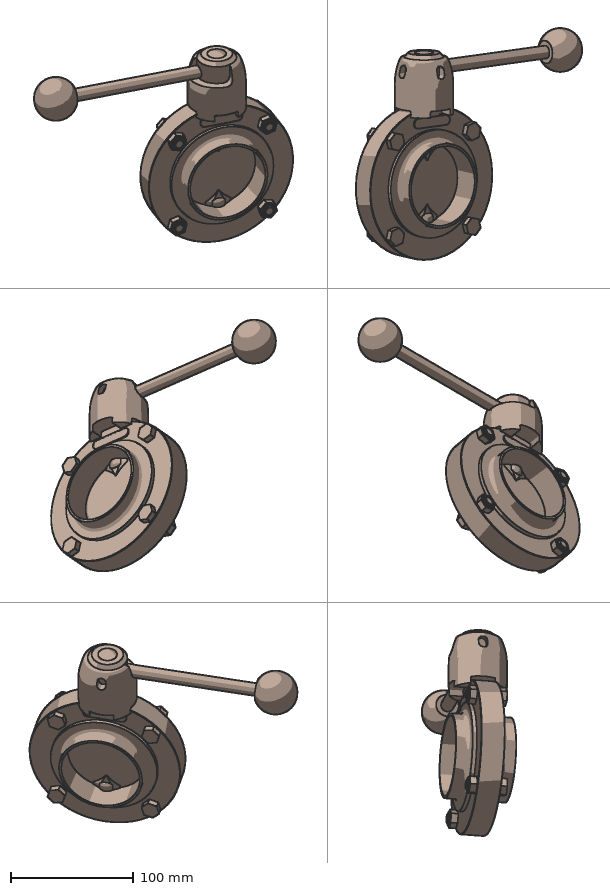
import cadquery as cq
import math


flange_radius = 63.5
flange_width = 19.8
flange_half_width = flange_width / 2
flange_chamfer = 0.5
collar_radius = 44.8
collar_width = 26.5
collar_end = collar_width / 2
pipe_radius = 35.0
bore_radius = 33.0
pipe_length = 50.0
pipe_end = pipe_length / 2
neck_fillet = 4.0

plate_length = 36.7
plate_height = 8.2
plate_center_z = 51.2
plate_thickness = 1.1
recess_diameter = 8.5
recess_offset = 11.4
recess_center_z = 52.5
recess_depth = 0.7

bolt_count = 4
bolt_circle_radius = 55.9
hex_across_corners = 15.4
hex_envelope_diameter = 15.8
hex_chamfer = 0.5
head_height = 5.3
nut_height = 5.8
nut_collar_diameter = 11.4
nut_collar_height = 1.0
bolt_radius = 4.5
bolt_end_length = 1.1
bolt_chamfer = 1.0

disc_half_thickness = 5.8
disc_center_radius = 2.12
disc_cone_radius = 30.7
disc_cone_edge = 3.0
disc_rim_half_thickness = 2.2
stub_radius = 7.3
stub_inner_z = 25.5
stub_fillet = 3.3
hub_tip_z = 18.3
hub_tip_half_width = 0.5
hub_tip_depth = 4.5
hub_outer_z = 28.5
hub_half_width = 11.1
hub_crest_depth = 5.0
hub_edge_depth = 3.0
hub_crest_share = 0.45

knob_bottom = 57.0
knob_radius = 24.0
notch_top = 62.5
knob_straight_top = 81.3
knob_mid_radius = 23.2
knob_mid_z = 90.8
knob_shoulder_radius = 20.0
knob_shoulder_z = 101.5
knob_top = 104.0
notch_width = 20.5
notch_fillet = 1.3

core_radius = 16.3
cap_radius = 13.0
cap_top = 107.3
dome_radius = 7.8
dome_height = 1.5

lever_z = 93.7
lever_radius = 5.3
ball_radius = 18.0
ball_center_y = -141.2
ball_flat_offset = 15.4
hole_width = 7.3
hole_height = 10.2

reach = 33.5


def ring_of_bolts(shape):
    """Copies of a shape centred on the X axis, moved out to the bolt circle."""
    copies = cq.Workplane("XY")
    for index in range(bolt_count):
        angle = 45 + index * 360 / bolt_count
        copy = shape.translate((0, bolt_circle_radius, 0)).rotate((0, 0, 0), (1, 0, 0), angle)
        copies = copies.add(copy)
    return copies.combine()


def make_body():
    fillet_edge = collar_end + neck_fillet
    fillet_middle = neck_fillet * (1 - math.sqrt(0.5))
    half = (
        cq.Workplane("XY")
        .moveTo(0, bore_radius)
        .lineTo(0, flange_radius)
        .lineTo(flange_half_width - flange_chamfer, flange_radius)
        .lineTo(flange_half_width, flange_radius - flange_chamfer)
        .lineTo(flange_half_width, collar_radius)
        .lineTo(collar_end, collar_radius)
        .lineTo(collar_end, pipe_radius + neck_fillet)
        .threePointArc(
            (collar_end + fillet_middle, pipe_radius + fillet_middle),
            (fillet_edge, pipe_radius),
        )
        .lineTo(pipe_end, pipe_radius)
        .lineTo(pipe_end, bore_radius)
        .close()
        .revolve(360, (0, 0, 0), (1, 0, 0))
    )
    body = half.union(half.mirror("YZ"))

    recesses = (
        cq.Workplane("YZ", origin=(flange_half_width - recess_depth, 0, 0))
        .pushPoints([(-recess_offset, recess_center_z), (recess_offset, recess_center_z)])
        .circle(recess_diameter / 2)
        .extrude(recess_depth)
    )
    body = body.cut(recesses).cut(recesses.mirror("YZ"))
    plate = (
        cq.Workplane("YZ")
        .center(0, plate_center_z)
        .slot2D(plate_length, plate_height)
        .extrude(flange_half_width + plate_thickness, both=True)
    )
    return body.union(plate)


def make_hexagon(height):
    """Hexagon prism from the flange face outwards along +X, with its far corners chamfered."""
    prism = (
        cq.Workplane("YZ", origin=(flange_half_width, 0, 0))
        .transformed(rotate=(0, 0, 90))
        .polygon(6, hex_across_corners)
        .extrude(height)
    )
    envelope = (
        cq.Workplane("YZ", origin=(flange_half_width, 0, 0))
        .circle(hex_envelope_diameter / 2)
        .extrude(height)
        .faces(">X")
        .chamfer(hex_chamfer)
    )
    return prism.intersect(envelope)


def make_bolts():
    nut = make_hexagon(nut_height)
    collar = (
        cq.Workplane("YZ", origin=(flange_half_width, 0, 0))
        .circle(nut_collar_diameter / 2)
        .extrude(nut_height + nut_collar_height)
    )
    bolt_end = (
        cq.Workplane("YZ", origin=(flange_half_width, 0, 0))
        .circle(bolt_radius)
        .extrude(nut_height + nut_collar_height + bolt_end_length)
        .faces(">X")
        .chamfer(bolt_chamfer)
    )
    head = make_hexagon(head_height).mirror("YZ")
    return ring_of_bolts(nut.union(collar).union(bolt_end)).union(ring_of_bolts(head))


def hub_section(crest_depth, edge_depth, half_width):
    """Corners of the eight-sided hub section, thickest along its middle."""
    crest = hub_crest_share * half_width
    front = [
        (edge_depth, -half_width),
        (crest_depth, -crest),
        (crest_depth, crest),
        (edge_depth, half_width),
    ]
    back = [(-x, -y) for x, y in front]
    return front + back


def make_disc():
    half = (
        cq.Workplane("XY")
        .lineTo(disc_half_thickness, 0)
        .lineTo(disc_half_thickness, disc_center_radius)
        .lineTo(disc_cone_edge, disc_cone_radius)
        .lineTo(disc_rim_half_thickness, bore_radius)
        .lineTo(0, bore_radius)
        .close()
        .revolve(360, (0, 0, 0), (1, 0, 0))
    )
    hub_outline = hub_section(hub_crest_depth, hub_edge_depth, hub_half_width)
    hub_tip = hub_section(hub_tip_depth, hub_edge_depth, hub_tip_half_width)
    hub = (
        cq.Workplane("XY", origin=(0, 0, hub_tip_z))
        .polyline(hub_tip)
        .close()
        .workplane(offset=hub_outer_z - hub_tip_z)
        .polyline(hub_outline)
        .close()
        .loft(ruled=True)
    )
    hub_base = (
        cq.Workplane("XY", origin=(0, 0, hub_outer_z))
        .polyline(hub_outline)
        .close()
        .extrude(bore_radius - hub_outer_z)
    )
    stub = (
        cq.Workplane("XY", origin=(0, 0, stub_inner_z))
        .circle(stub_radius)
        .extrude(pipe_radius - stub_inner_z)
        .faces("<Z")
        .edges()
        .fillet(stub_fillet)
    )
    hub = hub.union(hub_base).union(stub)
    return half.union(half.mirror("YZ")).union(hub).union(hub.mirror("XY"))


def make_lever_pocket():
    """Quarter of the knob opened upwards for the lever, with a floor rounded to the lever."""
    outside = (False, False, False)
    side = reach + lever_radius
    upper = (
        cq.Workplane("XY")
        .box(side, side, reach, centered=outside)
        .translate((-lever_radius, -reach, lever_z))
    )
    floor = (
        cq.Workplane("XY")
        .box(reach, reach, reach, centered=outside)
        .translate((0, -reach, lever_z - lever_radius))
    )
    groove_x = cq.Workplane("YZ", origin=(0, 0, lever_z)).circle(lever_radius).extrude(reach)
    groove_y = cq.Workplane("XZ", origin=(0, 0, lever_z)).circle(lever_radius).extrude(reach)
    return upper.union(floor).union(groove_x).union(groove_y)


def make_notch():
    """Slot across the underside of the knob along X, with rounded top corners."""
    return (
        cq.Workplane("XY")
        .box(2 * reach, notch_width, notch_top - knob_bottom, centered=(True, True, False))
        .translate((0, 0, knob_bottom))
        .edges("|X and >Z")
        .fillet(notch_fillet)
    )


def make_knob():
    knob = (
        cq.Workplane("XZ")
        .moveTo(0, knob_bottom)
        .lineTo(knob_radius, knob_bottom)
        .lineTo(knob_radius, knob_straight_top)
        .threePointArc((knob_mid_radius, knob_mid_z), (knob_shoulder_radius, knob_shoulder_z))
        .tangentArcPoint((core_radius, knob_top), relative=False)
        .lineTo(0, knob_top)
        .close()
        .revolve(360, (0, 0, 0), (0, 1, 0))
    )
    notch = make_notch()
    knob = knob.cut(notch).cut(notch.rotate((0, 0, 0), (0, 0, 1), 90))
    hole = (
        cq.Workplane("YZ", origin=(0, 0, lever_z))
        .slot2D(hole_height, hole_width, 90)
        .extrude(-reach)
    )
    knob = knob.cut(hole).cut(hole.rotate((0, 0, 0), (0, 0, 1), -90))
    knob = knob.cut(make_lever_pocket())
    dome_sphere_radius = (dome_radius**2 + dome_height**2) / (2 * dome_height)
    dome_half_angle = math.asin(dome_radius / dome_sphere_radius) / 2
    dome_middle = (
        dome_sphere_radius * math.sin(dome_half_angle),
        cap_top + dome_height - dome_sphere_radius * (1 - math.cos(dome_half_angle)),
    )
    core = (
        cq.Workplane("XZ")
        .moveTo(0, knob_straight_top)
        .lineTo(core_radius, knob_straight_top)
        .lineTo(core_radius, knob_top)
        .lineTo(cap_radius, cap_top)
        .lineTo(dome_radius, cap_top)
        .threePointArc(dome_middle, (0, cap_top + dome_height))
        .close()
        .revolve(360, (0, 0, 0), (0, 1, 0))
    )
    return knob.union(core)


def make_lever():
    rod = (
        cq.Workplane("XZ", origin=(0, 0, lever_z))
        .circle(lever_radius)
        .extrude(-ball_center_y)
    )
    ball = cq.Workplane("XY").sphere(ball_radius)
    beyond_flat = (
        cq.Workplane("XZ", origin=(0, ball_flat_offset, 0))
        .circle(ball_radius)
        .extrude(-ball_radius)
    )
    ball = ball.cut(beyond_flat).translate((0, ball_center_y, lever_z))
    return rod.union(ball)


result = (
    make_body()
    .union(make_bolts())
    .union(make_disc())
    .union(make_knob())
    .union(make_lever())
)